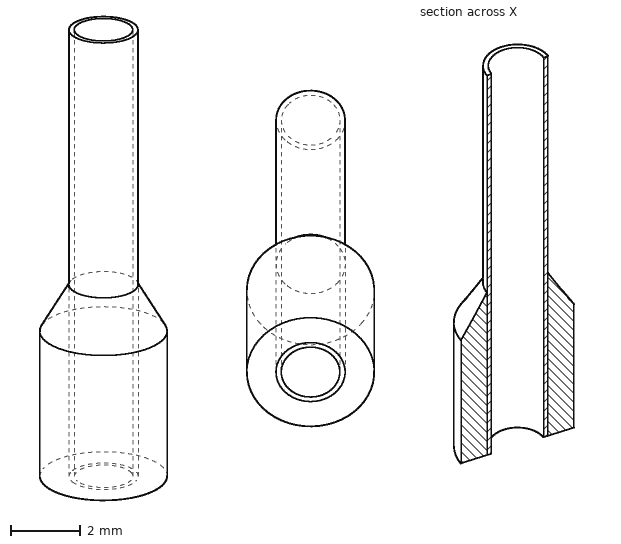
import cadquery as cq

total_length = 14.0

tube_diameter = 2.0
tube_bore = 1.7

collar_diameter = 3.7
collar_straight_height = 4.55
collar_height = 6.0


def make_tube():
    """Thin-walled tube running the full length of the ferrule."""
    return (
        cq.Workplane("XY")
        .circle(tube_diameter / 2)
        .circle(tube_bore / 2)
        .extrude(total_length)
    )


def make_collar():
    """Sleeve around the tube, tapering to the tube's surface at its top."""
    tube_radius = tube_diameter / 2
    collar_radius = collar_diameter / 2
    half_section = (
        cq.Workplane("XZ")
        .moveTo(tube_radius, 0)
        .lineTo(collar_radius, 0)
        .lineTo(collar_radius, collar_straight_height)
        .lineTo(tube_radius, collar_height)
        .close()
    )
    return half_section.revolve(360, (0, 0, 0), (0, 1, 0))


tube = make_tube()
collar = make_collar()

result = cq.Compound.makeCompound([tube.val(), collar.val()])